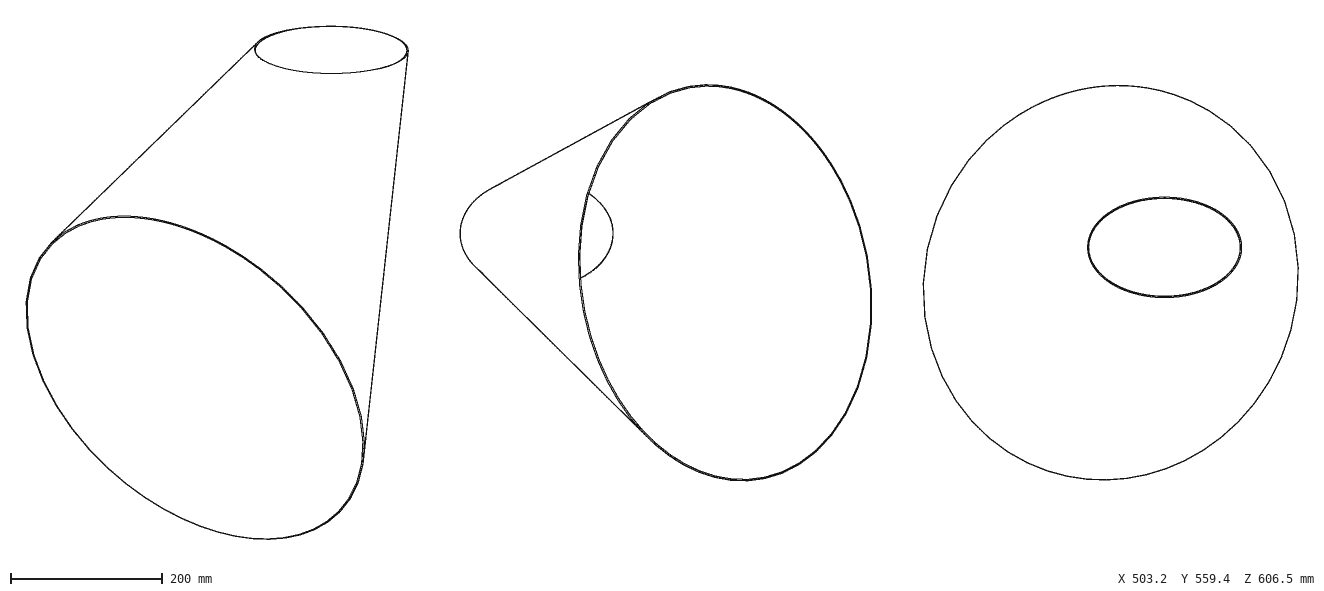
import cadquery as cq
import math


OVERALL_HEIGHT = 606.5
WALL = 2.0
SMALL_TO_LARGE = 0.4
OFFSET_TO_LARGE = 2.0
OFFSET_ANGLE = math.radians(45)
MITRE_ANGLE = OFFSET_ANGLE / 2
FACETS = 60

drop_ratio = OFFSET_TO_LARGE * math.sin(OFFSET_ANGLE)
reach_ratio = OFFSET_TO_LARGE * math.cos(OFFSET_ANGLE)
mitre_ratio = math.tan(MITRE_ANGLE)
front_pitch = math.atan2(drop_ratio - 1, reach_ratio + mitre_ratio - SMALL_TO_LARGE)
back_pitch = math.atan2(drop_ratio + 1, reach_ratio - mitre_ratio + SMALL_TO_LARGE)

wall_height = WALL * (math.cos(front_pitch) + math.cos(back_pitch))
large_radius = (OVERALL_HEIGHT - wall_height) / (drop_ratio + 1)
small_radius = SMALL_TO_LARGE * large_radius
drop = drop_ratio * large_radius
reach = reach_ratio * large_radius

hinge_distance = reach + drop * mitre_ratio
small_hinge_ratio = hinge_distance / small_radius
large_hinge_ratio = drop / large_radius


def large_mouth_angle(small_angle):
    """Angle on the large mouth whose tangent meets the small mouth's tangent on the hinge line."""
    sine_part = SMALL_TO_LARGE * (1 + small_hinge_ratio * math.cos(small_angle))
    cosine_part = large_hinge_ratio * math.sin(small_angle)
    amplitude = math.hypot(sine_part, cosine_part)
    return math.acos(-math.sin(small_angle) / amplitude) - math.atan2(sine_part, cosine_part)


def fold_line(small_angle, side):
    """Inner and outer end points of one fold; angles run from the back (0) to the front (pi)."""
    large_angle = large_mouth_angle(small_angle)
    sin_small = side * math.sin(small_angle)
    cos_small = math.cos(small_angle)
    sin_large = side * math.sin(large_angle)
    cos_large = math.cos(large_angle)

    inner_small = cq.Vector(small_radius * sin_small, small_radius * cos_small, 0)
    inner_large = cq.Vector(
        large_radius * sin_large,
        large_radius * mitre_ratio * cos_large - reach,
        -large_radius * cos_large - drop,
    )
    tangent = cq.Vector(cos_small, -sin_small, 0)
    outward = tangent.cross(inner_small - inner_large).normalized() * WALL
    if outward.dot(inner_small) < 0:
        outward = -outward
    return inner_small, inner_large, inner_large + outward, inner_small + outward


def all_fold_lines():
    """Fold lines in order around the sheet, evenly spaced on the small mouth."""
    step = 2 * math.pi / FACETS
    half = FACETS // 2
    right_side = [fold_line(i * step, 1) for i in range(half + 1)]
    left_side = [fold_line(i * step, -1) for i in range(half - 1, 0, -1)]
    return right_side + left_side


def strip(start_a, start_b, end_a, end_b):
    """Ruled face between the edges start_a-start_b and end_a-end_b."""
    return cq.Face.makeRuledSurface(
        cq.Edge.makeLine(start_a, start_b),
        cq.Edge.makeLine(end_a, end_b),
    )


def sheet_solid():
    """Closed solid from the inner skin, the outer skin and the rims of both mouths."""
    folds = all_fold_lines()
    faces = []
    for index, fold in enumerate(folds):
        next_fold = folds[(index + 1) % len(folds)]
        for corner in range(4):
            following = (corner + 1) % 4
            faces.append(strip(fold[corner], fold[following], next_fold[corner], next_fold[following]))
    return cq.Solid.makeSolid(cq.Shell.makeShell(faces))


result = cq.Workplane("XY").newObject([sheet_solid()])